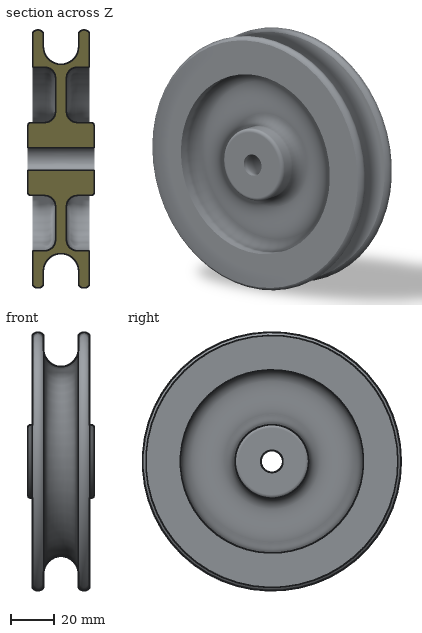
import cadquery as cq

wheel_radius = 60.0
rim_width = 26.6
hub_length = 31.0
hub_radius = 17.0
bore_radius = 5.0
recess_radius = 42.5
web_thickness = 5.3
recess_fillet = 4.9
hub_edge_fillet = 1.5
crown_height = 1.5
groove_radius = 8.0
groove_depth = 16.0


def disc(radius, width):
    """Disc on the X axis, centred on the YZ plane."""
    return cq.Workplane("YZ").circle(radius).extrude(width / 2, both=True)


def rim():
    """Outer ring below the flange crowns, open up to the recess wall."""
    return disc(wheel_radius - crown_height, rim_width).cut(disc(recess_radius, rim_width))


def flange_crown(side):
    """Ring segment that rounds the top of one groove flange from face to face."""
    shoulder = wheel_radius - crown_height
    inner_face = side * groove_radius
    outer_face = side * rim_width / 2
    return (
        cq.Workplane("XY")
        .moveTo(inner_face, shoulder)
        .threePointArc(((inner_face + outer_face) / 2, wheel_radius), (outer_face, shoulder))
        .close()
        .revolve(360, (0, 0, 0), (1, 0, 0))
    )


def hub():
    """Central boss with rounded end edges."""
    return disc(hub_radius, hub_length).faces("<X or >X").edges().fillet(hub_edge_fillet)


def recess_corner(wall_radius, side, direction):
    """Concave fillet ring between the web and a wall; direction points radially off the wall."""
    web_face = side * web_thickness / 2
    reach = direction * recess_fillet
    rise = side * recess_fillet
    bend = 1 - 0.5 ** 0.5
    return (
        cq.Workplane("XY")
        .moveTo(web_face, wall_radius)
        .lineTo(web_face, wall_radius + reach)
        .threePointArc(
            (web_face + rise * bend, wall_radius + reach * bend),
            (web_face + rise, wall_radius),
        )
        .close()
        .revolve(360, (0, 0, 0), (1, 0, 0))
    )


def rope_groove():
    """Ring cutter for the round-bottomed rope groove."""
    bottom = wheel_radius - groove_depth
    centre = bottom + groove_radius
    return (
        cq.Workplane("XY")
        .moveTo(-groove_radius, centre)
        .threePointArc((0, bottom), (groove_radius, centre))
        .lineTo(groove_radius, wheel_radius)
        .lineTo(-groove_radius, wheel_radius)
        .close()
        .revolve(360, (0, 0, 0), (1, 0, 0))
    )


result = rim().union(disc(recess_radius, web_thickness)).union(hub())
for side in (-1, 1):
    result = result.union(flange_crown(side))
    result = result.union(recess_corner(hub_radius, side, 1))
    result = result.union(recess_corner(recess_radius, side, -1))
result = result.cut(rope_groove()).cut(disc(bore_radius, hub_length))